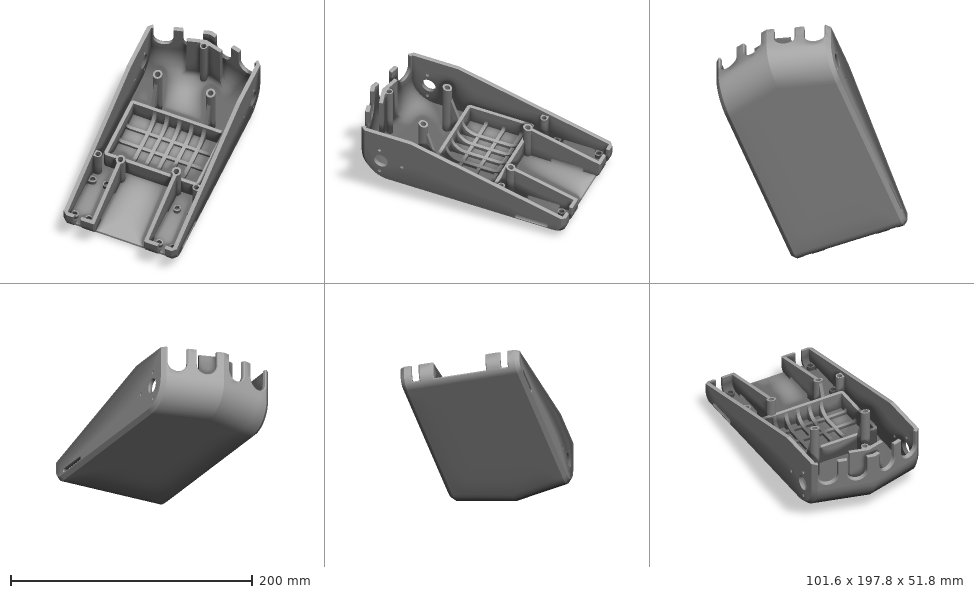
import cadquery as cq
import math

LENGTH = 197.8
WIDTH = 101.6
WALL = 3.8
SIDE_WALL = 3.5
FRONT_WALL = 3.0
REAR_HEIGHT = 50.8
FRONT_HEIGHT = 17.2
SLOPE_START = 139.6
REAR_ANGLE = 15.0
REAR_RADIUS = 24.3
FRONT_RADIUS = 9.9
SIDE_CHAMFER_X = 3.5
SIDE_CHAMFER_IN = 3.0

RIB = 3.2
PEG_OD = 8.0
PEG_HOLE = 4.5
PEG_X = 24.0
LEFT_PEG_YS = (60.3, 139.6)
RIGHT_PEG_YS = (66.0, 139.0)
LEFT_GUSSET_RISE = 3.0
RIGHT_GUSSET_RISE = 2.8

BOSS_OD = 6.3
BOSS_HOLE = 4.4
BOSS_OUTER_X = 44.1
BOSS_INNER_X = 31.6
BOSS_REAR_Y = 49.0
BOSS_FRONT_Y = 10.9
BOSS_TOP = 7.3
TALL_BOSS_Y = 60.3
TALL_BOSS_TOP = 28.7

BOX_WIDTH = 85.5
BOX_FRONT = 68.0
BOX_REAR = 128.3
BOX_WALL = 3.0
BOX_TOP = 19.2
BOX_CORNER = 2.8
LONG_RIB_PITCH = 11.0
LONG_RIB_COUNT = 5
LONG_RIB_TOP = 6.5
CROSS_RIB_TOP = 6.1
CROSS_RIB_YS = (79.1, 95.0, 110.7)
CROSS_RIB_WIDTH = 3.0
CROSS_RIB_RADIUS = 3.0

V_APEX = 187.7
V_THICKNESS = 3.4
V_HALF_WIDTH = 16.0
V_FILLET = 4.4
POST_Y = 181.1
POST_OD = 6.3
POST_FILLET = 1.2
POST_FLOOR = 5.5

CABLE_XS = (13.8, 38.0)
CABLE_WIDTH = 16.8
CABLE_CENTRE_Z = 38.2
EDGE_BEVEL = 0.8

AXLE_Y, AXLE_Z, AXLE_DIA = 166.3, 21.8, 12.7
SCREW_DIA = 3.2
SCREW_POINTS = ((167.5, 33.5), (167.5, 9.9), (147.1, 21.8))

SLOT_FRONT, SLOT_REAR = 15.0, 44.9
SLOT_HEIGHT = 3.5

OPENING_HALF = PEG_X - RIB / 2
NOTCH_INNER = BOSS_INNER_X + BOSS_OD / 2
NOTCH_OUTER = BOSS_OUTER_X - BOSS_OD / 2
OPENING_REAR = 25.1
LIP_BOTTOM, LIP_TOP_Y, LIP_BOTTOM_Y = 2.2, 4.2, 3.5

TALL = 79.1
OVERSHOOT = 2.0
SLOPE = (REAR_HEIGHT - FRONT_HEIGHT) / SLOPE_START
REAR_COS = math.cos(math.radians(REAR_ANGLE))
REAR_TAN = math.tan(math.radians(REAR_ANGLE))


def block(x0, x1, y0, y1, z0, z1):
    return cq.Workplane("XY").box(x1 - x0, y1 - y0, z1 - z0, centered=False).translate((x0, y0, z0))


def cylinder(x, y, diameter, z0, z1):
    return cq.Workplane("XY", origin=(x, y, z0)).circle(diameter / 2).extrude(z1 - z0)


def side_prism(points, x0, x1):
    """Polygon in (Y, Z) extruded from x0 to x1."""
    return cq.Workplane("YZ", origin=(x0, 0, 0)).polyline(points).close().extrude(x1 - x0)


def swept_back(side, apex_y):
    """Plane across one half of a swept-back wall: local X is outward normal, local Y is Z."""
    angle = math.radians(REAR_ANGLE)
    along = (math.cos(angle), -side * math.sin(angle), 0)
    outward = (side * math.sin(angle), math.cos(angle), 0)
    return cq.Workplane(cq.Plane(origin=(0, apex_y, 0), xDir=outward, normal=along))


def rounded_hull(half_width, front, apex, bottom, front_radius, rear_radius):
    """Tall block with a rounded front bottom edge and a rounded, V-shaped rear."""
    hull = block(-half_width, half_width, front, apex, bottom, TALL)
    hull = hull.edges("<Y and <Z").fillet(front_radius)
    for side in (-1, 1):
        rear = (
            swept_back(side, apex)
            .moveTo(-2 * LENGTH, bottom)
            .lineTo(-rear_radius, bottom)
            .radiusArc((0, bottom + rear_radius), -rear_radius)
            .lineTo(0, TALL)
            .lineTo(-2 * LENGTH, TALL)
            .close()
            .extrude(LENGTH, both=True)
        )
        hull = hull.intersect(rear)
    return hull


def below_slope():
    """Everything under the plane of the sloping top edge."""
    points = [(0, 0), (LENGTH, 0), (LENGTH, FRONT_HEIGHT + SLOPE * LENGTH), (0, FRONT_HEIGHT)]
    return side_prism(points, -WIDTH, WIDTH)


def shell():
    body = rounded_hull(WIDTH / 2, 0, LENGTH, 0, FRONT_RADIUS, REAR_RADIUS)
    below_top = cq.selectors.BoxSelector(
        (-WIDTH, -OVERSHOOT, -OVERSHOOT), (WIDTH, LENGTH, TALL - OVERSHOOT))
    for side in (">X", "<X"):
        outline = body.faces(side).edges(below_top)
        body = outline.chamfer(SIDE_CHAMFER_X, SIDE_CHAMFER_IN)
    cavity = rounded_hull(
        WIDTH / 2 - SIDE_WALL, FRONT_WALL, LENGTH - WALL / REAR_COS, WALL,
        FRONT_RADIUS - FRONT_WALL, REAR_RADIUS - WALL)
    body = body.cut(cavity)
    body = body.intersect(block(-WIDTH, WIDTH, 0, LENGTH, 0, REAR_HEIGHT))
    return body.intersect(below_slope())


def notch_outline(face_y):
    radius = CABLE_WIDTH / 2
    return (
        cq.Workplane("XZ", origin=(0, face_y, 0))
        .moveTo(-radius, TALL)
        .lineTo(-radius, CABLE_CENTRE_Z)
        .radiusArc((radius, CABLE_CENTRE_Z), -radius)
        .lineTo(radius, TALL)
        .close()
    )


def cable_notches():
    """U-shaped notches open at the top, square to the rear wall and flared at its outer face."""
    through = notch_outline(WALL).extrude(3 * WALL)
    flare = notch_outline(-EDGE_BEVEL).extrude(-2 * EDGE_BEVEL, taper=-45)
    notch = through.union(flare)
    notches = []
    for side in (-1, 1):
        for x in CABLE_XS:
            face_x = x + WALL / 2 * math.sin(math.radians(REAR_ANGLE))
            notches.append(
                notch.rotate((0, 0, 0), (0, 0, 1), -side * REAR_ANGLE)
                .translate((side * face_x, LENGTH - face_x * REAR_TAN, 0))
            )
    return notches


def rear_corner_solid():
    """Everything inside the outer rear rounding, to trim what stands on it."""
    return rounded_hull(WIDTH / 2, 0, LENGTH - WALL / 2, WALL / 2, FRONT_RADIUS, REAR_RADIUS - WALL / 2)


def v_wall():
    """V-shaped wall parallel to the rear wall, with ends square to its faces."""
    end_y = V_APEX - V_HALF_WIDTH * REAR_TAN
    inner_x = V_HALF_WIDTH - V_THICKNESS * math.sin(math.radians(REAR_ANGLE))
    inner_end_y = end_y - V_THICKNESS * REAR_COS
    inner_apex = V_APEX - V_THICKNESS / REAR_COS
    return (
        cq.Workplane("XY")
        .polyline([
            (0, V_APEX), (V_HALF_WIDTH, end_y), (inner_x, inner_end_y),
            (0, inner_apex), (-inner_x, inner_end_y), (-V_HALF_WIDTH, end_y),
        ])
        .close()
        .extrude(REAR_HEIGHT)
        .intersect(rear_corner_solid())
    )


def add_v_wall(body):
    """Join the V wall and round the foot of its front faces and ends."""
    body = body.union(v_wall())
    end_y = V_APEX - V_HALF_WIDTH * REAR_TAN
    foot = cq.selectors.BoxSelector(
        (-V_HALF_WIDTH, end_y - V_THICKNESS, WALL),
        (V_HALF_WIDTH, end_y, REAR_RADIUS / 2))
    return body.edges(foot).fillet(V_FILLET)


def post_on_v_wall():
    """Screw post standing against the middle of the V wall, blended into it."""
    half = POST_OD / 2
    post = cylinder(0, POST_Y, POST_OD, 0, REAR_HEIGHT)
    web = block(-half, half, POST_Y, V_APEX - V_THICKNESS, 0, REAR_HEIGHT)
    joined = post.union(web).intersect(rear_corner_solid()).union(v_wall())
    corners = cq.selectors.BoxSelector(
        (-POST_OD, POST_Y + half / 2, WALL), (POST_OD, POST_Y + POST_OD, REAR_HEIGHT))
    return joined.edges("|Z").edges(corners).fillet(POST_FILLET)


def box_long_rib(x):
    """Rib along Y whose top curves up to the rim at both ends."""
    front = BOX_FRONT + BOX_WALL
    rear = BOX_REAR - BOX_WALL
    radius = BOX_TOP - LONG_RIB_TOP
    return (
        cq.Workplane("YZ", origin=(x - RIB / 2, 0, 0))
        .moveTo(BOX_FRONT + BOX_WALL / 2, WALL / 2)
        .lineTo(BOX_FRONT + BOX_WALL / 2, BOX_TOP)
        .lineTo(front, BOX_TOP)
        .radiusArc((front + radius, LONG_RIB_TOP), -radius)
        .lineTo(rear - radius, LONG_RIB_TOP)
        .radiusArc((rear, BOX_TOP), -radius)
        .lineTo(BOX_REAR - BOX_WALL / 2, BOX_TOP)
        .lineTo(BOX_REAR - BOX_WALL / 2, WALL / 2)
        .close()
        .extrude(RIB)
    )


def box_cross_rib(y):
    """Rib along X with a small round rise at both ends."""
    half = BOX_WIDTH / 2 - BOX_WALL
    outer = BOX_WIDTH / 2 - BOX_WALL / 2
    radius = CROSS_RIB_RADIUS
    return (
        cq.Workplane("XZ", origin=(0, y + CROSS_RIB_WIDTH / 2, 0))
        .moveTo(-outer, WALL / 2)
        .lineTo(-outer, CROSS_RIB_TOP + radius)
        .lineTo(-half, CROSS_RIB_TOP + radius)
        .radiusArc((-half + radius, CROSS_RIB_TOP), -radius)
        .lineTo(half - radius, CROSS_RIB_TOP)
        .radiusArc((half, CROSS_RIB_TOP + radius), -radius)
        .lineTo(outer, CROSS_RIB_TOP + radius)
        .lineTo(outer, WALL / 2)
        .close()
        .extrude(CROSS_RIB_WIDTH)
    )


def ribbed_box():
    half = BOX_WIDTH / 2
    outside = block(-half, half, BOX_FRONT, BOX_REAR, WALL / 2, BOX_TOP).edges("|Z").fillet(BOX_CORNER)
    inside = block(-half + BOX_WALL, half - BOX_WALL, BOX_FRONT + BOX_WALL, BOX_REAR - BOX_WALL, 0, BOX_TOP)
    box = outside.cut(inside)
    for index in range(LONG_RIB_COUNT):
        box = box.union(box_long_rib(PEG_X - index * LONG_RIB_PITCH))
    for y in CROSS_RIB_YS:
        box = box.union(box_cross_rib(y))
    return box


def peg(x, y):
    return cylinder(x, y, PEG_OD, WALL / 2, TALL).intersect(below_slope())


def front_rib(x, peg_y):
    """Rib from the front wall to the front peg, following the sloping edge."""
    rib = block(x - RIB / 2, x + RIB / 2, FRONT_WALL, peg_y, WALL, TALL)
    return rib.intersect(below_slope())


def gusset(x, box_side_y, peg_y, rise):
    """Steep rib rising from the rim of the ribbed box to a peg."""
    peg_top = BOX_TOP + rise * abs(peg_y - box_side_y)
    points = [(box_side_y, WALL / 2), (box_side_y, BOX_TOP), (peg_y, peg_top), (peg_y, WALL / 2)]
    return side_prism(points, x - RIB / 2, x + RIB / 2).intersect(below_slope())


def peg_rows():
    left_front, left_rear = LEFT_PEG_YS
    right_front, right_rear = RIGHT_PEG_YS
    return [
        peg(-PEG_X, left_front),
        peg(-PEG_X, left_rear),
        front_rib(-PEG_X, left_front),
        gusset(-PEG_X, BOX_FRONT, left_front, LEFT_GUSSET_RISE),
        gusset(-PEG_X, BOX_REAR, left_rear, LEFT_GUSSET_RISE),
        peg(PEG_X, right_front),
        peg(PEG_X, right_rear),
        front_rib(PEG_X, right_front),
        gusset(PEG_X, BOX_REAR, right_rear, RIGHT_GUSSET_RISE),
    ]


def peg_holes():
    return [
        cylinder(x, y, PEG_HOLE, WALL, TALL)
        for x, ys in ((-PEG_X, LEFT_PEG_YS), (PEG_X, RIGHT_PEG_YS))
        for y in ys
    ]


def boss_places():
    """X, Y and top height of every boss."""
    places = []
    for side in (-1, 1):
        places.append((side * BOSS_OUTER_X, TALL_BOSS_Y, TALL_BOSS_TOP))
        for x in (BOSS_INNER_X, BOSS_OUTER_X):
            for y in (BOSS_FRONT_Y, BOSS_REAR_Y):
                places.append((side * x, y, BOSS_TOP))
    return places


def boss(x, y, top):
    """Round boss; the outer ones are joined to the side wall by a flat-sided web."""
    body = cylinder(x, y, BOSS_OD, WALL / 2, top)
    if abs(x) == BOSS_OUTER_X:
        wall_x = math.copysign(WIDTH / 2 - SIDE_WALL / 2, x)
        web = block(min(x, wall_x), max(x, wall_x), y - BOSS_OD / 2, y + BOSS_OD / 2, WALL / 2, top)
        body = body.union(web)
    return body


def side_cutouts():
    """Axle hole, screw holes and slot, straight through from side to side."""
    holes = [(AXLE_Y, AXLE_Z, AXLE_DIA)] + [(y, z, SCREW_DIA) for y, z in SCREW_POINTS]
    cutters = [
        cq.Workplane("YZ", origin=(-WIDTH, y, z)).circle(diameter / 2).extrude(2 * WIDTH)
        for y, z, diameter in holes
    ]
    slot = (
        cq.Workplane("YZ", origin=(-WIDTH, (SLOT_FRONT + SLOT_REAR) / 2, WALL + SLOT_HEIGHT / 2))
        .slot2D(SLOT_REAR - SLOT_FRONT, SLOT_HEIGHT)
        .extrude(2 * WIDTH)
    )
    return cutters + [slot]


def front_opening(x0, x1):
    """Gap through the front wall down to the floor, with a beveled lip at the floor edge."""
    points = [
        (-OVERSHOOT, TALL), (-OVERSHOOT, LIP_BOTTOM), (LIP_BOTTOM_Y, LIP_BOTTOM),
        (LIP_TOP_Y, WALL), (OPENING_REAR, WALL), (OPENING_REAR, TALL),
    ]
    return side_prism(points, x0, x1)


def front_openings():
    return [
        front_opening(-OPENING_HALF, OPENING_HALF),
        front_opening(-NOTCH_OUTER, -NOTCH_INNER),
        front_opening(NOTCH_INNER, NOTCH_OUTER),
    ]


def bevel_front_openings(body):
    """Bevel the outer edges of the front wall beside each opening."""
    reach = EDGE_BEVEL / 2
    for side in (-1, 1):
        for x in (OPENING_HALF, NOTCH_INNER, NOTCH_OUTER):
            corner = cq.selectors.BoxSelector(
                (side * x - reach, -reach, LIP_BOTTOM),
                (side * x + reach, FRONT_WALL, FRONT_HEIGHT - reach))
            body = body.edges(corner).chamfer(EDGE_BEVEL)
    return body


result = shell()
for cutter in cable_notches():
    result = result.cut(cutter)
result = add_v_wall(result)

additions = [post_on_v_wall(), ribbed_box()] + peg_rows() + [boss(*place) for place in boss_places()]
for addition in additions:
    result = result.union(addition)

cutters = side_cutouts() + front_openings() + peg_holes()
cutters.append(cylinder(0, POST_Y, BOSS_HOLE, POST_FLOOR, TALL))
cutters += [cylinder(x, y, BOSS_HOLE, WALL, top) for x, y, top in boss_places()]
for cutter in cutters:
    result = result.cut(cutter)

result = bevel_front_openings(result)